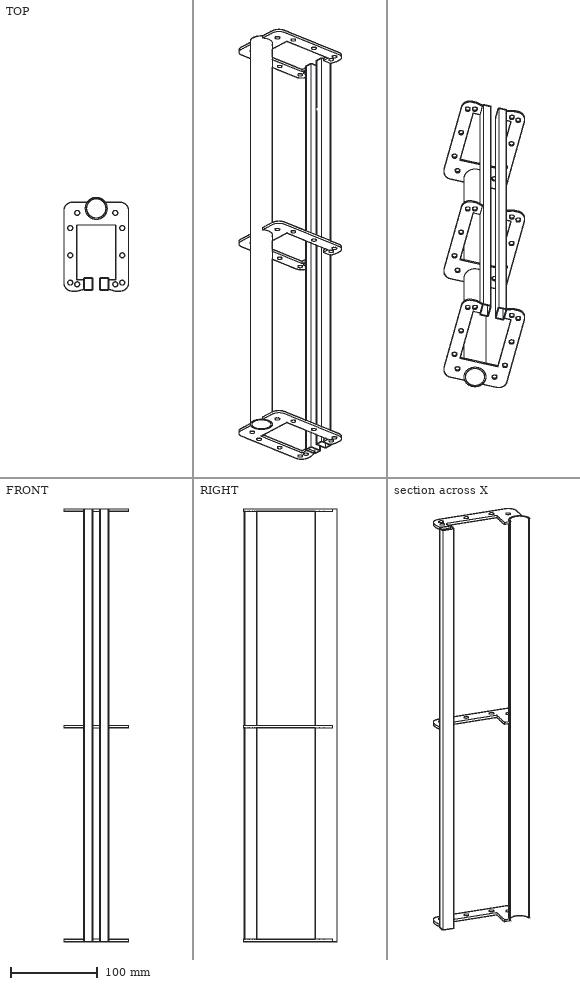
import cadquery as cq
import math

POST_HEIGHT = 500.0
OVERALL_LENGTH = 108.5

PLATE_WIDTH = 75.0
PLATE_LENGTH = 103.0
PLATE_THICKNESS = 3.0
CORNER_RADIUS = 10.0
FRONT_FLAT_LENGTH = 5.5
FRONT_SLOPE_ANGLE = 16.0
RAIL_WIDTH = 15.0
FOOT_DEPTH = 13.5

HOLE_DIAMETER = 5.5
RAIL_HOLE_X = 30.0
RAIL_HOLE_FRONT_INSET = 10.0
RAIL_HOLE_PITCH = 31.5
HOLES_PER_RAIL = 3
CORNER_HOLE_X = 22.0
CORNER_HOLE_FRONT_INSET = 8.0
CORNER_HOLE_BACK_INSET = 12.5

ROUND_TUBE_DIAMETER = 25.5
ROUND_TUBE_WALL = 1.75

SLIM_TUBE_WIDTH = 10.5
SLIM_TUBE_DEPTH = 15.0
SLIM_TUBE_WALL = 1.0
SLIM_TUBE_RADIUS = 1.5
SLIM_TUBE_GAP = 8.0
SLIM_TUBE_FRONT_INSET = 1.0

SIDES = (-1, 1)
top_plate_level = POST_HEIGHT - PLATE_THICKNESS
middle_plate_level = POST_HEIGHT / 2 - PLATE_THICKNESS
plate_levels = [0.0, middle_plate_level, top_plate_level]
window_width = PLATE_WIDTH - 2 * RAIL_WIDTH
window_length = (HOLES_PER_RAIL - 1) * RAIL_HOLE_PITCH
round_tube_y = OVERALL_LENGTH - ROUND_TUBE_DIAMETER / 2
slim_tube_x = (SLIM_TUBE_GAP + SLIM_TUBE_WIDTH) / 2
slim_tube_y = SLIM_TUBE_FRONT_INSET + SLIM_TUBE_DEPTH / 2
foot_end_x = SLIM_TUBE_GAP / 2 + SLIM_TUBE_WIDTH


def round_post(radius):
    """Full-height cylinder on the axis of the round tube."""
    return cq.Workplane("XY").center(0, round_tube_y).circle(radius).extrude(POST_HEIGHT)


def make_round_tube():
    outer_radius = ROUND_TUBE_DIAMETER / 2
    return round_post(outer_radius).cut(round_post(outer_radius - ROUND_TUBE_WALL))


def slim_post(side, width, depth):
    """Full-height rectangular bar on the axis of one slim tube."""
    return cq.Workplane("XY").center(side * slim_tube_x, slim_tube_y).rect(width, depth).extrude(POST_HEIGHT)


def make_slim_tube(side):
    envelope = slim_post(side, SLIM_TUBE_WIDTH, SLIM_TUBE_DEPTH).edges("|Z").fillet(SLIM_TUBE_RADIUS)
    bore = slim_post(side, SLIM_TUBE_WIDTH - 2 * SLIM_TUBE_WALL, SLIM_TUBE_DEPTH - 2 * SLIM_TUBE_WALL)
    return envelope.cut(bore)


def plate_blank(level):
    """Solid plate with rounded corners and front edges that slope back towards the slim tubes."""
    half_width = PLATE_WIDTH / 2
    slope_start_x = half_width - CORNER_RADIUS - FRONT_FLAT_LENGTH
    slope_rise = (slope_start_x - foot_end_x) * math.tan(math.radians(FRONT_SLOPE_ANGLE))
    half_plate = (
        cq.Workplane("XY", origin=(0, 0, level))
        .moveTo(0, slope_rise)
        .lineTo(foot_end_x, slope_rise)
        .lineTo(slope_start_x, 0)
        .lineTo(half_width, 0)
        .lineTo(half_width, PLATE_LENGTH)
        .lineTo(0, PLATE_LENGTH)
        .close()
        .extrude(PLATE_THICKNESS)
        .edges("|Z and >X")
        .fillet(CORNER_RADIUS)
    )
    return half_plate.union(half_plate.mirror("YZ"))


def hole_centres():
    """Centres of the rail holes and the corner holes on both sides."""
    centres = []
    for side in SIDES:
        for index in range(HOLES_PER_RAIL):
            centres.append((side * RAIL_HOLE_X, RAIL_HOLE_FRONT_INSET + index * RAIL_HOLE_PITCH))
        centres.append((side * CORNER_HOLE_X, CORNER_HOLE_FRONT_INSET))
        centres.append((side * CORNER_HOLE_X, PLATE_LENGTH - CORNER_HOLE_BACK_INSET))
    return centres


def make_plate(level):
    """Plate with a window open to the front between two feet, and a notch for the round tube."""
    floor = cq.Workplane("XY", origin=(0, 0, level))
    window = (
        floor.center(0, FOOT_DEPTH + window_length / 2)
        .rect(window_width, window_length)
        .extrude(PLATE_THICKNESS)
    )
    front_gap = floor.center(0, FOOT_DEPTH / 2).rect(2 * foot_end_x, FOOT_DEPTH).extrude(PLATE_THICKNESS)
    holes = floor.pushPoints(hole_centres()).circle(HOLE_DIAMETER / 2).extrude(PLATE_THICKNESS)
    plate = plate_blank(level)
    for opening in (window, front_gap, holes, round_post(ROUND_TUBE_DIAMETER / 2)):
        plate = plate.cut(opening)
    return plate


round_tube = make_round_tube()
slim_tubes = [make_slim_tube(side) for side in SIDES]
plates = [make_plate(level) for level in plate_levels]

result = cq.Compound.makeCompound(
    [round_tube.val(), *[tube.val() for tube in slim_tubes], *[plate.val() for plate in plates]]
)